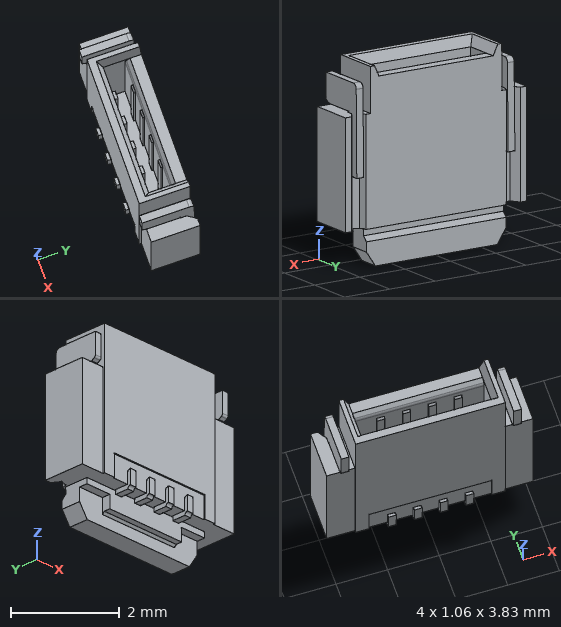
import cadquery as cq
import math


housing_width = 2.9
housing_depth = 1.0
housing_height = 3.1
overall_width = 4.0
wing_height = 2.2
wing_front_y = 0.04

cavity_width = 2.52
cavity_front_y = 0.25
cavity_floor_z = 0.5
mouth_chamfer_width = 0.1
mouth_chamfer_height = 0.21
rear_wall_top_z = housing_height - mouth_chamfer_height
rear_wall_front_y = 0.675
rear_wall_round = 0.09
rear_wall_chamfer = 0.1

recess_width = 2.38
recess_height = 0.505
recess_depth = 0.03

contact_count = 4
contact_pitch = 0.5
contact_width = 0.15
metal_front_y = -0.05
tail_top_z = 0.305
tail_top_drop = 0.035
tail_bottom_z = -0.1
tail_rear_y = 0.33
tail_bend_radius = 0.065
rear_blade_thickness = 0.035
front_blade_thickness = 0.085
blade_top_z = 2.65
blade_tip_drop = 0.04

tab_x = 1.67
tab_width = 0.15
tab_top_z = 2.8
tab_rear_y = 0.97
tab_top_round = 0.1
tab_lower_edge_z = 2.225
tab_lower_round = 0.06
tab_bevel_length = 0.1
tab_bevel_angle = math.radians(30)
tab_neck_front_y = 0.7
tab_neck_bottom_z = 1.0
tab_neck_rear_y = 0.99

groove_outer_x = 1.86
groove_inner_x = 1.55
groove_outer_tip_y = 0.82
groove_inner_tip_y = 0.86

tongue_width = 3.09
tongue_bottom_z = -0.73
tongue_front_y = 0.555
tongue_neck_rear_y = 0.915
tongue_rear_y = 1.01
tongue_neck_z = -0.14
tongue_rear_chamfer = tongue_rear_y - tongue_neck_rear_y
tongue_corner_x = 0.2
tongue_corner_z = 0.3
pad_front_y = 0.365
pad_step_z = -0.13
pad_width = 1.89
pad_bottom_z = -0.43
pad_slope_y = 0.05
pad_slope_z = 0.05


def box(x_size, y_range, z_range, x_center=0.0):
    """Box centred on x_center that fills the given Y and Z ranges."""
    y_start, y_end = y_range
    z_start, z_end = z_range
    solid = cq.Workplane("XY").box(x_size, y_end - y_start, z_end - z_start, centered=(True, False, False))
    return solid.translate((x_center, y_start, z_start))


def extrude_along_x(profile, width, x_center=0.0):
    """Extrude a closed (Y, Z) profile to the given width, centred on x_center."""
    return profile.extrude(width / 2, both=True).translate((x_center, 0, 0))


def make_housing():
    body = box(housing_width, (0, housing_depth), (0, housing_height))
    wings = box(overall_width, (wing_front_y, housing_depth), (0, wing_height))
    recess = box(recess_width, (0, recess_depth), (0, recess_height))
    return body.union(wings).cut(recess)


def round_edge(solid, y, z, radius, x_center=0.0):
    """Fillet the edge along X that passes through (x_center, y, z)."""
    edge = cq.selectors.NearestToPointSelector((x_center, y, z))
    return solid.edges(edge).fillet(radius)


def make_cavity():
    bevel_bottom_z = rear_wall_top_z - rear_wall_chamfer
    profile = cq.Workplane("YZ").polyline(
        [
            (cavity_front_y, cavity_floor_z),
            (rear_wall_front_y, cavity_floor_z),
            (rear_wall_front_y, bevel_bottom_z),
            (rear_wall_front_y + rear_wall_chamfer, rear_wall_top_z),
            (housing_depth, rear_wall_top_z),
            (housing_depth, housing_height),
            (cavity_front_y, housing_height),
        ]
    )
    cavity = extrude_along_x(profile.close(), cavity_width)
    cavity = round_edge(cavity, rear_wall_front_y, bevel_bottom_z, rear_wall_round)
    return cavity.union(make_mouth_flare())


def make_mouth_flare():
    """Sloped lead-in on the front and side walls; it runs past the rear of the housing."""
    bottom_depth = 2 * (housing_depth - cavity_front_y)
    return (
        cq.Workplane("XY", origin=(0, housing_depth, rear_wall_top_z))
        .rect(cavity_width, bottom_depth)
        .workplane(offset=mouth_chamfer_height)
        .rect(cavity_width + 2 * mouth_chamfer_width, bottom_depth + 2 * mouth_chamfer_width)
        .loft()
    )


def make_groove(side):
    """V groove in the rear of a wing, over its full height."""
    tab_outer_x = tab_x + tab_width / 2
    tab_inner_x = tab_x - tab_width / 2
    outline = [
        (side * groove_outer_x, housing_depth),
        (side * tab_outer_x, groove_outer_tip_y),
        (side * tab_inner_x, groove_inner_tip_y),
        (side * groove_inner_x, housing_depth),
    ]
    return cq.Workplane("XY").polyline(outline).close().extrude(wing_height)


def make_tab(side):
    """Board tab with a rounded top rear corner, a bevelled front corner and a neck that widens downward."""
    x_center = side * tab_x
    bevel_top_z = tab_lower_edge_z + tab_bevel_length * math.tan(tab_bevel_angle)
    profile = cq.Workplane("YZ").polyline(
        [
            (metal_front_y, tab_top_z),
            (tab_rear_y, tab_top_z),
            (tab_neck_rear_y, tab_neck_bottom_z),
            (tab_neck_front_y, tab_neck_bottom_z),
            (tab_neck_front_y, tab_lower_edge_z),
            (metal_front_y + tab_bevel_length, tab_lower_edge_z),
            (metal_front_y, bevel_top_z),
        ]
    )
    tab = extrude_along_x(profile.close(), tab_width, x_center)
    tab = round_edge(tab, tab_rear_y, tab_top_z, tab_top_round, x_center)
    return round_edge(tab, metal_front_y, bevel_top_z, tab_lower_round, x_center)


def make_tongue():
    neck_and_rear = (
        cq.Workplane("YZ")
        .moveTo(pad_front_y, 0)
        .lineTo(tongue_neck_rear_y, 0)
        .lineTo(tongue_neck_rear_y, tongue_neck_z)
        .lineTo(tongue_rear_y, tongue_neck_z - tongue_rear_chamfer)
        .lineTo(tongue_rear_y, tongue_bottom_z)
        .lineTo(tongue_front_y, tongue_bottom_z)
        .lineTo(tongue_front_y, pad_step_z)
        .lineTo(pad_front_y, pad_step_z)
        .close()
    )
    pad = (
        cq.Workplane("YZ")
        .moveTo(pad_front_y, pad_step_z)
        .lineTo(tongue_front_y, pad_step_z)
        .lineTo(tongue_front_y, pad_bottom_z - pad_slope_z)
        .lineTo(tongue_front_y - pad_slope_y, pad_bottom_z)
        .lineTo(pad_front_y, pad_bottom_z)
        .close()
    )
    tongue = extrude_along_x(neck_and_rear, tongue_width)
    for side in (-1, 1):
        corner_x = side * tongue_width / 2
        corner = (
            cq.Workplane("XZ")
            .moveTo(corner_x, tongue_bottom_z)
            .lineTo(corner_x - side * tongue_corner_x, tongue_bottom_z)
            .lineTo(corner_x, tongue_bottom_z + tongue_corner_z)
            .close()
            .extrude(-2 * tongue_rear_y)
        )
        tongue = tongue.cut(corner)
    return tongue.union(extrude_along_x(pad, pad_width))


def make_solder_tail(x_center):
    """L-shaped tail with a hollow round at its outer bend."""
    bend_y = metal_front_y + tail_bend_radius
    bend_z = tail_bottom_z + tail_bend_radius
    bend_mid = tail_bend_radius * math.sqrt(0.5)
    profile = (
        cq.Workplane("YZ")
        .moveTo(metal_front_y, tail_top_z)
        .lineTo(recess_depth, tail_top_z - tail_top_drop)
        .lineTo(recess_depth, 0)
        .lineTo(tail_rear_y, 0)
        .lineTo(tail_rear_y, tail_bottom_z)
        .lineTo(bend_y, tail_bottom_z)
        .threePointArc((metal_front_y + bend_mid, tail_bottom_z + bend_mid), (metal_front_y, bend_z))
        .close()
    )
    return extrude_along_x(profile, contact_width, x_center)


def make_blade(x_center, wall_y, face_y):
    """Contact blade on a cavity wall, its top sloping down from the wall to the blade face."""
    profile = (
        cq.Workplane("YZ")
        .moveTo(wall_y, cavity_floor_z)
        .lineTo(wall_y, blade_top_z)
        .lineTo(face_y, blade_top_z - blade_tip_drop)
        .lineTo(face_y, cavity_floor_z)
        .close()
    )
    return extrude_along_x(profile, contact_width, x_center)


def make_contact(x_center):
    front_blade = make_blade(x_center, cavity_front_y, cavity_front_y + front_blade_thickness)
    rear_blade = make_blade(x_center, rear_wall_front_y, rear_wall_front_y - rear_blade_thickness)
    return make_solder_tail(x_center).union(front_blade).union(rear_blade)


result = make_housing().cut(make_cavity()).union(make_tongue())
for side in (-1, 1):
    result = result.cut(make_groove(side)).union(make_tab(side))
for index in range(contact_count):
    result = result.union(make_contact((index - (contact_count - 1) / 2) * contact_pitch))